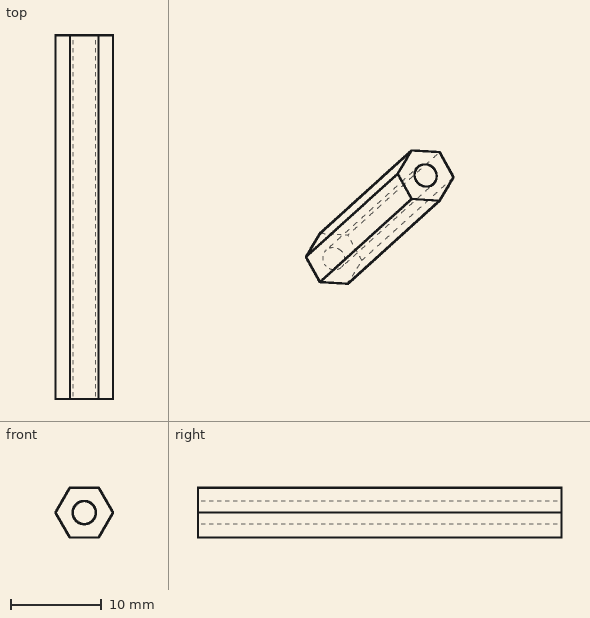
import cadquery as cq

length = 40.0
across_corners = 6.35
bore_diameter = 2.5

hex_bar = (
    cq.Workplane("XZ")
    .polygon(6, across_corners)
    .extrude(length / 2, both=True)
)

bore = (
    cq.Workplane("XZ")
    .circle(bore_diameter / 2)
    .extrude(length / 2, both=True)
)

result = hex_bar.cut(bore)